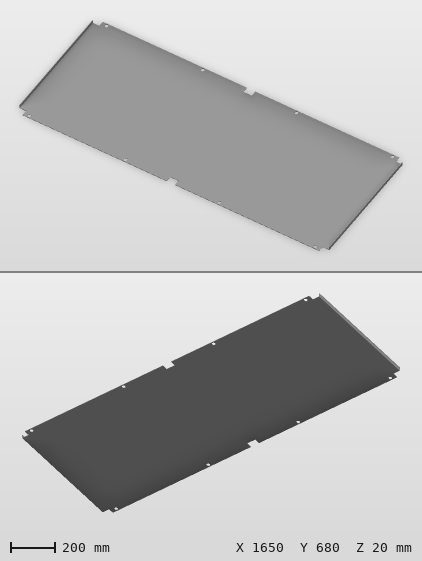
import cadquery as cq

length = 1650.0
width = 680.0
thickness = 2.5

bend_radius = thickness
fold_zone_height = thickness + bend_radius
flange_height_above_fold = 15.0
height = fold_zone_height + flange_height_above_fold

notch_depth = 30.0
corner_notch_length = 36.0
middle_notch_length = 45.0

slot_width = 15.0
slot_length = 18.0
slot_edge_distance = 13.0
outer_slot_x = 760.0
inner_slot_x = 249.0

flange_width = width - 2 * notch_depth
slot_y = width / 2 - slot_edge_distance


def base_sheet():
    """Flat sheet with its underside on Z = 0."""
    return cq.Workplane("XY").box(length, width, thickness, centered=(True, True, False))


def edge_notches():
    """Rectangular cutters for the four corners and the middle of both long edges."""
    corners = (
        cq.Workplane("XY")
        .rect(length, width, forConstruction=True)
        .vertices()
        .rect(2 * corner_notch_length, 2 * notch_depth)
        .extrude(thickness)
    )
    middles = (
        cq.Workplane("XY")
        .pushPoints([(0, width / 2), (0, -width / 2)])
        .rect(middle_notch_length, 2 * notch_depth)
        .extrude(thickness)
    )
    return corners.union(middles)


def mounting_slots():
    """Eight slot cutters, mirrored about both centre lines."""
    centres = []
    for x in (-outer_slot_x, -inner_slot_x, inner_slot_x, outer_slot_x):
        for y in (-slot_y, slot_y):
            centres.append((x, y))
    return cq.Workplane("XY").pushPoints(centres).slot2D(slot_length, slot_width, 90).extrude(thickness)


def end_flange(side):
    """Upright flange at one short end: side is -1 or +1 along X."""
    centre_x = side * (length - thickness) / 2
    return (
        cq.Workplane("XY")
        .center(centre_x, 0)
        .rect(thickness, flange_width)
        .extrude(height)
    )


panel = base_sheet().cut(edge_notches()).cut(mounting_slots())
for end in (-1, 1):
    panel = panel.union(end_flange(end))

result = panel.edges("<Z and (<X or >X)").fillet(bend_radius)